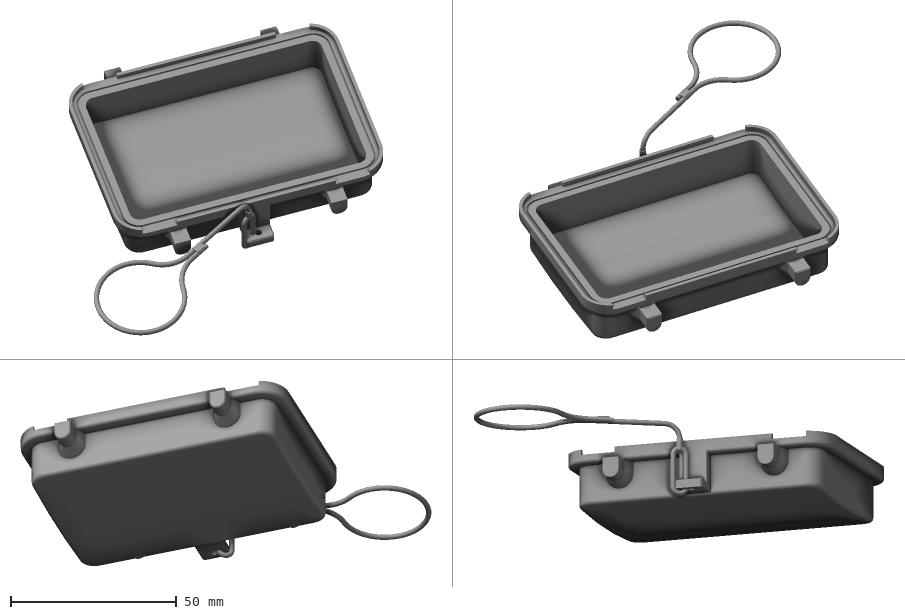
import cadquery as cq
import math

FLANGE_X = 59.4
FLANGE_Y = 85.4
FLANGE_RADIUS = 9.0
LEDGE_Z = 2.6
RIM_TOP_Z = 4.3
RIM_WIDTH = 1.1
FLANGE_FILLET = 1.1
NOTCH_START_Y = 25.2
NOTCH_END_Y = 36.1

GROOVE_X = 54.0
GROOVE_Y = 80.4
GROOVE_RADIUS = 5.4
GROOVE_WIDTH = 0.6
GROOVE_DEPTH = 0.6

BODY_X = 52.1
BODY_Y = 78.5
BODY_RADIUS = 4.9
WALL = 1.8
CROWN_Z = -13.7
CROWN_RISE = 1.5
BOTTOM_FILLET = 1.3

PIN_Y = 24.9
PIN_RADIUS = 2.5
PIN_AXIS_Z = -3.6
PIN_LEFT_END = 34.9
PIN_RIGHT_END = 34.3
PIN_CHAMFER = 0.3
PIN_ROOT_RADIUS = 4.3

TAB_END_X = 34.3
TAB_WIDTH = 8.7
TAB_TOP_Z = -8.8
TAB_BOTTOM_Z = -11.4
TAB_CORNER = 0.8
TAB_CHAMFER = 0.4
TAB_HOLE_X = 31.6
TAB_HOLE_DIAMETER = 2.1

CORD_RADIUS = 0.79
CORD_Z = 8.9
CORD_ANGLE = -60.0
CORD_LENGTH = 48.9
RING_END_X = 70.9
RING_RADIUS = 13.3
RING_CENTRE_X = RING_END_X - CORD_RADIUS - RING_RADIUS
RING_CENTRE_Y = -45.7
BRANCH_START = 27.5
STUB_START = 21.0
STRAND_PITCH = 1.7

SLEEVE_START = 21.9
SLEEVE_LENGTH = 3.3
SLEEVE_WIDTH = 2.3
SLEEVE_HEIGHT = 1.1

LOOP_HALF_WIDTH = 2.0
LOOP_BOTTOM_Z = -13.3
LOOP_TOP_Z = 2.1
COLLAR_RADIUS = 1.01
COLLAR_BOTTOM_Z = 0.8
COLLAR_TOP_Z = 4.3

FLANGE_EDGE = FLANGE_X / 2
BODY_EDGE = BODY_X / 2


def rounded_block(size_x, size_y, radius, bottom_z, top_z):
    block = cq.Workplane("XY").workplane(offset=bottom_z).rect(size_x, size_y)
    return block.extrude(top_z - bottom_z).edges("|Z").fillet(radius)


def above_crown(crown_z, top_z):
    """Space above the crowned bottom surface, used to trim blocks."""
    edge_z = crown_z + CROWN_RISE
    profile = (
        cq.Workplane("XZ")
        .moveTo(-BODY_EDGE, top_z)
        .lineTo(-BODY_EDGE, edge_z)
        .threePointArc((0, crown_z), (BODY_EDGE, edge_z))
        .lineTo(BODY_EDGE, top_z)
        .close()
    )
    return profile.extrude(FLANGE_Y / 2, both=True)


def make_flange():
    flange = rounded_block(FLANGE_X, FLANGE_Y, FLANGE_RADIUS, 0, RIM_TOP_Z)
    flange = flange.faces("<Z").edges().fillet(FLANGE_FILLET)
    recess = rounded_block(
        FLANGE_X - 2 * RIM_WIDTH, FLANGE_Y - 2 * RIM_WIDTH, FLANGE_RADIUS - RIM_WIDTH, LEDGE_Z, RIM_TOP_Z
    )
    flange = flange.cut(recess)
    for side in (-1, 1):
        notch = cq.Workplane("XY").workplane(offset=LEDGE_Z)
        notch = notch.center(0, side * (NOTCH_START_Y + NOTCH_END_Y) / 2)
        notch = notch.rect(FLANGE_X, NOTCH_END_Y - NOTCH_START_Y).extrude(RIM_TOP_Z - LEDGE_Z)
        flange = flange.cut(notch)
    return flange


def make_groove():
    bottom_z = LEDGE_Z - GROOVE_DEPTH
    outer = rounded_block(GROOVE_X, GROOVE_Y, GROOVE_RADIUS, bottom_z, LEDGE_Z)
    inner = rounded_block(
        GROOVE_X - 2 * GROOVE_WIDTH,
        GROOVE_Y - 2 * GROOVE_WIDTH,
        GROOVE_RADIUS - GROOVE_WIDTH,
        bottom_z,
        LEDGE_Z,
    )
    return outer.cut(inner)


def make_body():
    body = rounded_block(BODY_X, BODY_Y, BODY_RADIUS, CROWN_Z, LEDGE_Z)
    body = body.intersect(above_crown(CROWN_Z, LEDGE_Z))
    return body.faces("<Z").edges().fillet(BOTTOM_FILLET)


def make_cavity():
    cavity = rounded_block(BODY_X - 2 * WALL, BODY_Y - 2 * WALL, BODY_RADIUS - WALL, CROWN_Z, LEDGE_Z)
    return cavity.intersect(above_crown(CROWN_Z + WALL, LEDGE_Z))


def pin_outline(plane, radius):
    outline = plane.moveTo(-radius, 0).lineTo(-radius, PIN_AXIS_Z)
    outline = outline.threePointArc((0, PIN_AXIS_Z - radius), (radius, PIN_AXIS_Z))
    return outline.lineTo(radius, 0).close()


def make_pin(end_x, y):
    """Pin on the +X side with a flared root between the body and the flange edge."""
    start = cq.Workplane("YZ", origin=(BODY_EDGE, y, 0))
    root = pin_outline(start, PIN_ROOT_RADIUS).workplane(offset=FLANGE_EDGE - BODY_EDGE)
    root = pin_outline(root, PIN_RADIUS).loft(ruled=True)
    shaft = pin_outline(start, PIN_RADIUS).extrude(end_x - BODY_EDGE)
    web = cq.Workplane("XY").box(
        FLANGE_EDGE - BODY_EDGE, 2 * PIN_RADIUS, FLANGE_FILLET, centered=(False, True, False)
    )
    return shaft, root.union(web.translate((BODY_EDGE, y, 0)))


def make_pins():
    pins = cq.Workplane("XY")
    for y in (-PIN_Y, PIN_Y):
        shaft, root = make_pin(PIN_RIGHT_END, y)
        pins = pins.add(shaft).add(root)
        shaft, root = make_pin(PIN_LEFT_END, y)
        shaft = shaft.faces(">X").edges().chamfer(PIN_CHAMFER)
        pins = pins.add(shaft.mirror("YZ")).add(root.mirror("YZ"))
    return pins.combine()


def make_tab():
    inner_x = BODY_EDGE - WALL / 2
    plate = cq.Workplane("XY").box(
        TAB_END_X - inner_x, TAB_WIDTH, TAB_TOP_Z - TAB_BOTTOM_Z, centered=(False, True, False)
    )
    plate = plate.edges("|Z and >X").fillet(TAB_CORNER).faces(">Z").edges().chamfer(TAB_CHAMFER)
    plate = plate.translate((inner_x, 0, TAB_BOTTOM_Z))
    block = cq.Workplane("XY").box(
        FLANGE_EDGE - inner_x, TAB_WIDTH, FLANGE_FILLET - TAB_BOTTOM_Z, centered=(False, True, False)
    )
    block = block.translate((inner_x, 0, TAB_BOTTOM_Z))
    hole = cq.Workplane("XY").workplane(offset=TAB_BOTTOM_Z).center(TAB_HOLE_X, 0)
    hole = hole.circle(TAB_HOLE_DIAMETER / 2).extrude(TAB_TOP_Z - TAB_BOTTOM_Z)
    return plate.union(block).cut(hole)


def cord_along(path, start, direction):
    plane = cq.Plane(origin=start, normal=direction)
    return cq.Workplane(plane).circle(CORD_RADIUS).sweep(path)


def branch_points(offset, side):
    """Points along a strand that curves from the sleeve into the ring."""
    run = CORD_LENGTH - BRANCH_START
    shift = side * offset
    curve_radius = (run**2 + shift**2 - RING_RADIUS**2) / (2 * (RING_RADIUS - shift))
    joint_angle = math.asin((shift + curve_radius) / (curve_radius + RING_RADIUS))
    curve_y = offset + side * curve_radius

    def on_curve(angle):
        along = BRANCH_START + curve_radius * math.sin(angle)
        return cq.Vector(along, curve_y - side * curve_radius * math.cos(angle), CORD_Z)

    sweep_angle = math.pi / 2 - joint_angle
    return on_curve(0), on_curve(sweep_angle / 2), on_curve(sweep_angle)


def make_main_cord():
    """One cord from its stub around the ring, back through the sleeve and down to the collar."""
    stub = cq.Vector(STUB_START, STRAND_PITCH, CORD_Z)
    stub_start, stub_mid, stub_joint = branch_points(STRAND_PITCH, 1)
    lead_start, lead_mid, lead_joint = branch_points(0, -1)
    ring_end = cq.Vector(CORD_LENGTH + RING_RADIUS, 0, CORD_Z)

    bend_radius = CORD_Z - COLLAR_TOP_Z
    bend_inset = bend_radius * (1 - math.sqrt(0.5))
    bend_start = cq.Vector(bend_radius, 0, CORD_Z)
    bend_mid = cq.Vector(bend_inset, 0, CORD_Z - bend_inset)
    bend_end = cq.Vector(0, 0, COLLAR_TOP_Z)
    collar_middle = cq.Vector(0, 0, (COLLAR_BOTTOM_Z + COLLAR_TOP_Z) / 2)

    edges = [
        cq.Edge.makeLine(stub, stub_start),
        cq.Edge.makeThreePointArc(stub_start, stub_mid, stub_joint),
        cq.Edge.makeThreePointArc(stub_joint, ring_end, lead_joint),
        cq.Edge.makeThreePointArc(lead_joint, lead_mid, lead_start),
        cq.Edge.makeLine(lead_start, bend_start),
        cq.Edge.makeThreePointArc(bend_start, bend_mid, bend_end),
        cq.Edge.makeLine(bend_end, collar_middle),
    ]
    return cord_along(cq.Wire.assembleEdges(edges), stub, (1, 0, 0))


def make_sleeve():
    sleeve = cq.Workplane("XY").box(SLEEVE_LENGTH, SLEEVE_WIDTH, SLEEVE_HEIGHT, centered=(False, True, False))
    return sleeve.translate((SLEEVE_START, STRAND_PITCH / 2, CORD_Z))


def make_tab_loop():
    """Oval loop around the tab edge, with a collar closing its top."""
    top_z = LOOP_TOP_Z - CORD_RADIUS
    bottom_z = LOOP_BOTTOM_Z + CORD_RADIUS
    path = (
        cq.Workplane("XZ")
        .moveTo(LOOP_HALF_WIDTH, bottom_z + LOOP_HALF_WIDTH)
        .lineTo(LOOP_HALF_WIDTH, top_z - LOOP_HALF_WIDTH)
        .threePointArc((0, top_z), (-LOOP_HALF_WIDTH, top_z - LOOP_HALF_WIDTH))
        .lineTo(-LOOP_HALF_WIDTH, bottom_z + LOOP_HALF_WIDTH)
        .threePointArc((0, bottom_z), (LOOP_HALF_WIDTH, bottom_z + LOOP_HALF_WIDTH))
        .close()
    )
    loop = cord_along(path, (LOOP_HALF_WIDTH, 0, bottom_z + LOOP_HALF_WIDTH), (0, 0, 1))
    collar = cq.Workplane("XY").workplane(offset=COLLAR_BOTTOM_Z).circle(COLLAR_RADIUS)
    return loop.union(collar.extrude(COLLAR_TOP_Z - COLLAR_BOTTOM_Z))


def make_cord():
    cord = make_main_cord().union(make_sleeve()).union(make_tab_loop())
    angle = math.radians(CORD_ANGLE)
    foot_x = RING_CENTRE_X - CORD_LENGTH * math.cos(angle)
    foot_y = RING_CENTRE_Y - CORD_LENGTH * math.sin(angle)
    return cord.rotate((0, 0, 0), (0, 0, 1), CORD_ANGLE).translate((foot_x, foot_y, 0))


result = (
    make_flange()
    .union(make_body())
    .union(make_pins())
    .union(make_tab())
    .cut(make_cavity())
    .cut(make_groove())
    .union(make_cord())
)